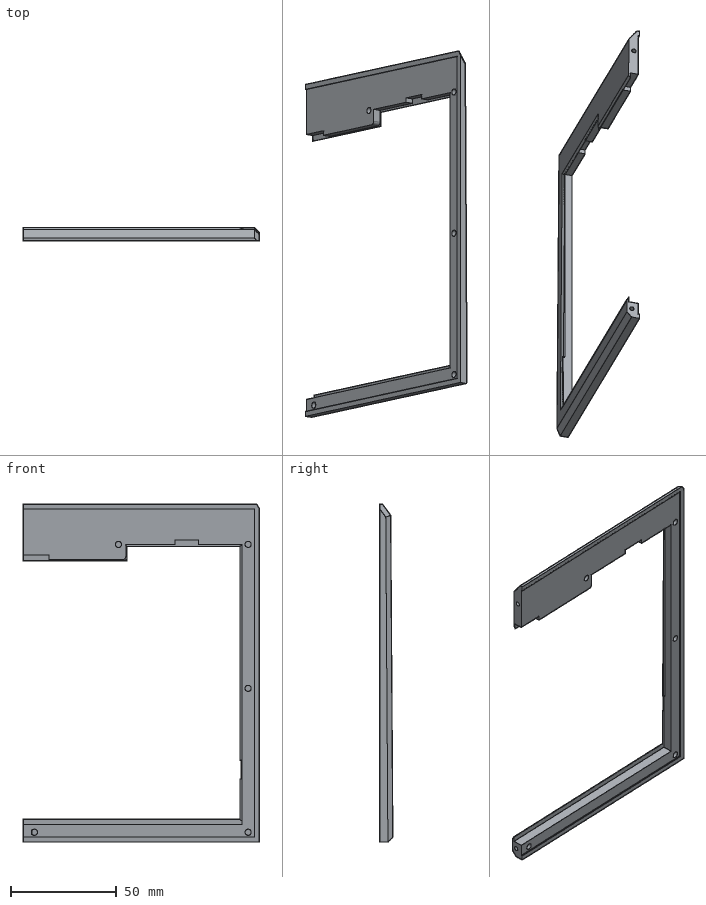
import cadquery as cq

WIDTH = 111.55
DEPTH = 6.33
HEIGHT = 159.53

BACK_DEPTH_TOP = 5.32
BACK_CHAMFER = 2.4
TOP_BEVEL_HEIGHT = 5.3
TOP_EDGE_DEPTH = 1.4
CORNER_FALL_PER_X = 1.7

LIP_WIDTH = 2.4
LIP_HEIGHT = 0.6

BODY_RIGHT = 103.35
BOTTOM_ARM_HEIGHT = 8.25
TOP_BAR_HEIGHT = 19.0
BLOCK_RIGHT = 48.5
BLOCK_HEIGHT = 26.2
BLOCK_CORNER_RADIUS = 1.5
FLANGE_WIDTH = 1.05
BLOCK_FLANGE_WIDTH = 0.6
BOTTOM_FLANGE_WIDTH = 2.6
FLANGE_FRONT = 4.55
THIN_FLANGE_FRONT = 5.3
FLANGE_CHAMFER_DEPTH = 0.85
FLANGE_CHAMFER_WIDTH = 1.45

RELIEF_BOTTOM = 29.9
RELIEF_TOP = 38.6
RELIEF_DEPTH = 0.6

END_NOTCH_LENGTH = 12.2
END_NOTCH_TOP = 24.0
BAR_NOTCH_LEFT = 71.8
BAR_NOTCH_RIGHT = 82.9
BAR_NOTCH_TOP = 16.9

SCREW_DIAMETER = 2.9
SCREW_FLOOR = 3.4
SCREW_INSET_X = 5.35
SCREW_INSET_Z = 4.7
SCREW_TOP_Z = 140.5
BLOCK_SCREW_X = 45.0

PIN_DIAMETER = 2.0
PIN_LENGTH = 4.2
TOP_PIN_Y = 2.85
TOP_PIN_DROP = 11.4
BOTTOM_PIN_Y = 3.9


def box(x_range, y_range, z_range):
    """Axis-aligned block given by its limits along X, Y and Z."""
    size = [high - low for low, high in (x_range, y_range, z_range)]
    corner = (x_range[0], y_range[0], z_range[0])
    return cq.Workplane("XY").box(*size, centered=False).translate(corner)


def make_shell():
    """Outer block with its leaning back, top bevel, back chamfers and bevelled corner."""
    side = [
        (0, 0),
        (DEPTH - BACK_CHAMFER, 0),
        (DEPTH, BACK_CHAMFER),
        (BACK_DEPTH_TOP, HEIGHT - TOP_BEVEL_HEIGHT),
        (TOP_EDGE_DEPTH, HEIGHT),
        (0, HEIGHT),
    ]
    shell = cq.Workplane("YZ").polyline(side).close().extrude(WIDTH)
    mid_back = ((DEPTH + BACK_DEPTH_TOP) / 2, HEIGHT / 2)
    shell = shell.edges(cq.NearestToPointSelector((WIDTH, *mid_back))).chamfer(BACK_CHAMFER)

    fall_per_y = TOP_BEVEL_HEIGHT / (BACK_DEPTH_TOP - TOP_EDGE_DEPTH)
    start = (WIDTH - BACK_CHAMFER, TOP_EDGE_DEPTH, HEIGHT)
    bevel = cq.Plane(origin=start, xDir=(0, 1, -fall_per_y), normal=(CORNER_FALL_PER_X, fall_per_y, 1))
    half_space = cq.Workplane(bevel).rect(HEIGHT, HEIGHT).extrude(HEIGHT)
    right_end = box((start[0], WIDTH), (0, DEPTH), (0, HEIGHT))
    return shell.cut(half_space.intersect(right_end))


def cut_window(shell):
    """Cut the window bounded by the flange and chamfer its edges on the back face."""
    window_right = BODY_RIGHT - FLANGE_WIDTH
    window_bottom = BOTTOM_ARM_HEIGHT + BOTTOM_FLANGE_WIDTH
    bar_edge = HEIGHT - TOP_BAR_HEIGHT - FLANGE_WIDTH
    block_edge = HEIGHT - BLOCK_HEIGHT - BLOCK_FLANGE_WIDTH
    block_side = BLOCK_RIGHT + BLOCK_FLANGE_WIDTH
    depth_range = (0, DEPTH)

    below_block = box((0, window_right), depth_range, (window_bottom, block_edge))
    beside_block = box((block_side, window_right), depth_range, (window_bottom, bar_edge))
    window = below_block.union(beside_block)
    back_edges = cq.selectors.BoxSelector(
        (0, BACK_DEPTH_TOP, window_bottom - FLANGE_WIDTH),
        (BODY_RIGHT, DEPTH, bar_edge + FLANGE_WIDTH),
    )
    framed = shell.cut(window).edges(back_edges).chamfer(FLANGE_CHAMFER_WIDTH, FLANGE_CHAMFER_DEPTH)

    relief_x = (window_right, window_right + RELIEF_DEPTH)
    return framed.cut(box(relief_x, depth_range, (RELIEF_BOTTOM, RELIEF_TOP)))


def make_body_opening():
    """Wider opening in front of the flange, with the notches in the top bar."""
    block_bottom = HEIGHT - BLOCK_HEIGHT
    bar_bottom = HEIGHT - TOP_BAR_HEIGHT
    depth_range = (0, THIN_FLANGE_FRONT)
    main = box((BLOCK_RIGHT, BODY_RIGHT), depth_range, (BOTTOM_ARM_HEIGHT, bar_bottom))
    below_block = box((0, BODY_RIGHT), depth_range, (BOTTOM_ARM_HEIGHT, block_bottom))
    block_corner = cq.NearestToPointSelector((BLOCK_RIGHT, THIN_FLANGE_FRONT / 2, block_bottom))
    opening = main.union(below_block).edges(block_corner).fillet(BLOCK_CORNER_RADIUS)
    end_notch = box((0, END_NOTCH_LENGTH), depth_range, (block_bottom, HEIGHT - END_NOTCH_TOP))
    bar_notch = box((BAR_NOTCH_LEFT, BAR_NOTCH_RIGHT), depth_range, (bar_bottom, HEIGHT - BAR_NOTCH_TOP))
    opening = opening.union(end_notch).union(bar_notch)

    thick_flange = box((0, WIDTH), (FLANGE_FRONT, THIN_FLANGE_FRONT), (RELIEF_TOP, HEIGHT))
    return opening.cut(thick_flange)


def make_front_recess():
    """Shallow recess that leaves the lip standing on the front."""
    return box((0, WIDTH - LIP_WIDTH), (0, LIP_HEIGHT), (LIP_WIDTH, HEIGHT - LIP_WIDTH))


def screw_hole(x, z):
    """Blind hole entering from the front."""
    return cq.Workplane("XZ").center(x, z).circle(SCREW_DIAMETER / 2).extrude(-SCREW_FLOOR)


def pin_hole(y, z):
    """Blind hole entering from a left end face."""
    return cq.Workplane("YZ").center(y, z).circle(PIN_DIAMETER / 2).extrude(PIN_LENGTH)


result = cut_window(make_shell()).cut(make_body_opening()).cut(make_front_recess())

right_screw_x = WIDTH - SCREW_INSET_X
screw_places = [
    (SCREW_INSET_X, SCREW_INSET_Z),
    (right_screw_x, SCREW_INSET_Z),
    (right_screw_x, (SCREW_INSET_Z + SCREW_TOP_Z) / 2),
    (right_screw_x, SCREW_TOP_Z),
    (BLOCK_SCREW_X, SCREW_TOP_Z),
]
for x, z in screw_places:
    result = result.cut(screw_hole(x, z))

for y, z in [(TOP_PIN_Y, HEIGHT - TOP_PIN_DROP), (BOTTOM_PIN_Y, SCREW_INSET_Z)]:
    result = result.cut(pin_hole(y, z))